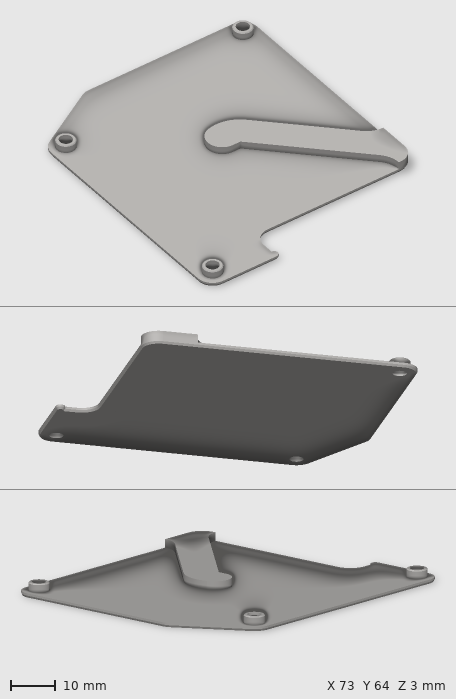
import cadquery as cq
import math

length = 73.0
width = 64.0
body_length = 64.0
plate_thickness = 1.0
total_height = 3.0
raised_height = total_height - plate_thickness
corner_radius = 4.0
chamfer_height = 0.5
chamfer_inset = 0.3

notch_floor = 19.0
lip_radius = 1.0

slope_angle = math.radians(60)
slope_boss_x = 13.2

boss_diameter = 4.8
hole_diameter = 3.2
boss_chamfer = 0.2
boss_centers = [
    (corner_radius, width - corner_radius),
    (slope_boss_x, corner_radius),
    (length - corner_radius, corner_radius),
]

rib_end_radius = 4.0
rib_end_x = 33.0
rib_end_y = 33.1
rib_upper_offset = 9.4
rib_lower_offset = -1.8
rib_bend_radius = 9.0
rib_flare_radius = 6.5
upper_normal = 135


def make_plate():
    """Rounded plate with its lip and chamfered bottom rim."""
    foot_x = slope_boss_x - corner_radius * math.tan(slope_angle / 2)
    slope_top_y = foot_x * math.tan(slope_angle)
    lip_x = length - 2 * lip_radius
    plate = (
        cq.Workplane("XY")
        .moveTo(foot_x, 0)
        .lineTo(length, 0)
        .lineTo(length, notch_floor)
        .threePointArc((length - lip_radius, notch_floor + lip_radius), (lip_x, notch_floor))
        .lineTo(body_length, notch_floor)
        .lineTo(body_length, width)
        .lineTo(0, width)
        .lineTo(0, slope_top_y)
        .close()
        .extrude(plate_thickness)
    )
    rounded_corners = [
        (foot_x, 0),
        (length, 0),
        (body_length, notch_floor),
        (body_length, width),
        (0, width),
        (0, slope_top_y),
    ]
    for x, y in rounded_corners:
        corner = cq.selectors.NearestToPointSelector((x, y, plate_thickness / 2))
        plate = plate.edges("|Z").edges(corner).fillet(corner_radius)
    return plate.faces("<Z").chamfer(chamfer_inset, chamfer_height)


def arc_point(center, radius, degrees):
    """Point on a circle at an angle from +X."""
    angle = math.radians(degrees)
    return (center[0] + radius * math.cos(angle), center[1] + radius * math.sin(angle))


def rib_bend_center():
    """Center of the bend: tangent to the upper side and around the rounded end."""
    center_offset = rib_upper_offset - math.sqrt(2) * rib_bend_radius
    center_distance = rib_bend_radius - rib_end_radius
    nearest_x = (rib_end_x + rib_end_y - center_offset) / 2
    gap = abs(rib_end_x + center_offset - rib_end_y) / math.sqrt(2)
    center_x = nearest_x + math.sqrt((center_distance**2 - gap**2) / 2)
    return (center_x, center_x + center_offset)


def make_rib():
    """Diagonal rib, flared to meet two plate edges squarely at the +X +Y corner."""
    end_center = (rib_end_x, rib_end_y)
    right = rib_end_x + rib_end_radius
    bend_center = rib_bend_center()
    join_angle = math.degrees(math.atan2(rib_end_y - bend_center[1], rib_end_x - bend_center[0])) % 360
    side_shift = math.sqrt(2) * rib_flare_radius
    upper_flare = (width - rib_upper_offset - side_shift, width)
    lower_flare = (body_length, body_length + rib_lower_offset - side_shift)
    return (
        cq.Workplane("XY", origin=(0, 0, plate_thickness))
        .moveTo(*arc_point(end_center, rib_end_radius, join_angle))
        .threePointArc(
            arc_point(bend_center, rib_bend_radius, (join_angle + upper_normal) / 2),
            arc_point(bend_center, rib_bend_radius, upper_normal),
        )
        .lineTo(*arc_point(upper_flare, rib_flare_radius, upper_normal - 180))
        .threePointArc(
            arc_point(upper_flare, rib_flare_radius, (upper_normal - 180) / 2),
            arc_point(upper_flare, rib_flare_radius, 0),
        )
        .lineTo(body_length - corner_radius, width)
        .radiusArc((body_length, width - corner_radius), corner_radius)
        .lineTo(*arc_point(lower_flare, rib_flare_radius, 90))
        .threePointArc(
            arc_point(lower_flare, rib_flare_radius, (90 + upper_normal) / 2),
            arc_point(lower_flare, rib_flare_radius, upper_normal),
        )
        .lineTo(right, right + rib_lower_offset)
        .lineTo(right, rib_end_y)
        .threePointArc(
            arc_point(end_center, rib_end_radius, -90),
            arc_point(end_center, rib_end_radius, join_angle),
        )
        .close()
        .extrude(raised_height)
    )


def make_bosses():
    """Round bosses with a chamfered top rim."""
    return (
        cq.Workplane("XY", origin=(0, 0, plate_thickness))
        .pushPoints(boss_centers)
        .circle(boss_diameter / 2)
        .extrude(raised_height)
        .faces(">Z")
        .chamfer(boss_chamfer)
    )


def make_holes():
    """Through holes on the boss axes."""
    return cq.Workplane("XY").pushPoints(boss_centers).circle(hole_diameter / 2).extrude(total_height)


result = make_plate().union(make_rib()).union(make_bosses()).cut(make_holes())